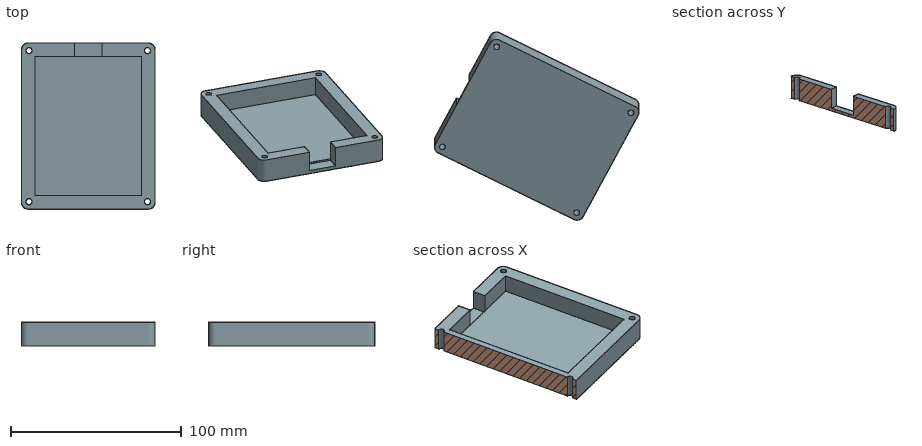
import cadquery as cq

CASE_WIDTH = 78.3
CASE_LENGTH = 97.4
CASE_HEIGHT = 14.0
CORNER_RADIUS = 4.0

WALL = 8.0
FLOOR = 2.0
POCKET_WIDTH = CASE_WIDTH - 2 * WALL
POCKET_LENGTH = CASE_LENGTH - 2 * WALL
POCKET_DEPTH = CASE_HEIGHT - FLOOR

NOTCH_WIDTH = 16.4

SCREW_HOLE_DIAMETER = 3.4
SCREW_EDGE_DISTANCE = 4.5
SCREW_SPACING_X = CASE_WIDTH - 2 * SCREW_EDGE_DISTANCE
SCREW_SPACING_Y = CASE_LENGTH - 2 * SCREW_EDGE_DISTANCE

PLATE_THICKNESS = 1.0


def case_block():
    """Solid block with rounded vertical corners."""
    block = cq.Workplane("XY").box(CASE_WIDTH, CASE_LENGTH, CASE_HEIGHT, centered=(True, True, False))
    return block.edges("|Z").fillet(CORNER_RADIUS)


def pocket():
    """Volume of the rectangular pocket, open at the top."""
    return (
        cq.Workplane("XY")
        .workplane(offset=FLOOR)
        .rect(POCKET_WIDTH, POCKET_LENGTH)
        .extrude(POCKET_DEPTH)
    )


def wall_notch():
    """Volume of the opening through the +Y wall."""
    wall_middle = (CASE_LENGTH - WALL) / 2
    return (
        cq.Workplane("XY")
        .workplane(offset=FLOOR)
        .center(0, wall_middle)
        .rect(NOTCH_WIDTH, WALL)
        .extrude(POCKET_DEPTH)
    )


def screw_holes():
    """Volumes of the four holes through the full height."""
    return (
        cq.Workplane("XY")
        .rarray(SCREW_SPACING_X, SCREW_SPACING_Y, 2, 2)
        .circle(SCREW_HOLE_DIAMETER / 2)
        .extrude(CASE_HEIGHT)
    )


def make_case():
    """Open tray with a notched wall and corner screw holes."""
    return case_block().cut(pocket()).cut(wall_notch()).cut(screw_holes())


def make_plate():
    """Flat plate that fills the bottom of the pocket."""
    return (
        cq.Workplane("XY")
        .workplane(offset=FLOOR)
        .rect(POCKET_WIDTH, POCKET_LENGTH)
        .extrude(PLATE_THICKNESS)
    )


case = make_case()
plate = make_plate()

result = cq.Compound.makeCompound([case.val(), plate.val()])